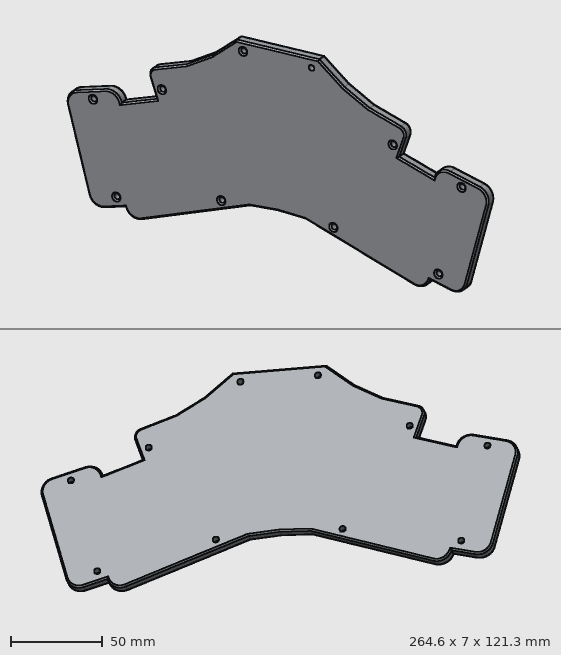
import cadquery as cq
import math

thickness = 7.0
edge_chamfer = 1.0
plate_height = 121.27
top_z = plate_height / 2

shoulder_points = [
    (25.9, top_z),
    (41.5, 47.8),
    (57.3, 38.8),
]
shoulder_corner = (81.8, 30.8)
step_corner = (76.0, 13.85)
buried_step_end = (115.0, 0.9)
lower_corner = (92.9, -62.85)
arch_end = (17.4, -36.5)
arch_middle = (0.0, -35.5)
shoulder_radius = 5.0
lower_corner_radius = 8.0
match_tolerance = 0.01

wing_tilt = 15.0
wing_width = 35.0
wing_length = 68.3
wing_radius = 8.0
wing_center = (108.37, -23.0)

hole_diameter = 3.4
hole_chamfer = 1.0
hole_points = [
    (21.5, 54.9),
    (72.5, 20.5),
    (115.7, 4.9),
    (101.1, -50.1),
    (35.2, -37.25),
]
plain_hole = hole_points[0]


def mirrored(point):
    return (-point[0], point[1])


def front_plane(origin=(0, 0, 0)):
    """Sketch plane with X right and Z up, extruding toward -Y."""
    return cq.Workplane("XZ", origin=origin)


def corner_posts(solid, points):
    """Edges along Y that pass through the given (X, Z) points."""
    def is_on_a_point(edge):
        center = edge.Center()
        return any(math.dist((center.x, center.z), point) < match_tolerance for point in points)

    return solid.edges("|Y").filter(is_on_a_point)


def make_body():
    lower_points = [shoulder_corner, step_corner, buried_step_end, lower_corner, arch_end]
    half = shoulder_points + lower_points
    outline = half + [arch_middle] + [mirrored(point) for point in reversed(half)]
    body = front_plane().polyline(outline).close().extrude(thickness / 2, both=True)
    rounded_corners = [(shoulder_corner, shoulder_radius), (lower_corner, lower_corner_radius)]
    for corner, radius in rounded_corners:
        body = corner_posts(body, [corner, mirrored(corner)]).fillet(radius)
    return body


def make_wing(side):
    wing = (
        front_plane()
        .rect(wing_width, wing_length)
        .extrude(thickness / 2, both=True)
        .edges("|Y")
        .fillet(wing_radius)
    )
    tilted = wing.rotate((0, 0, 0), (0, 1, 0), side * wing_tilt)
    return tilted.translate((side * wing_center[0], 0, wing_center[1]))


def make_hole(point, chamfered):
    radius = hole_diameter / 2
    origin = (point[0], -thickness / 2, point[1])
    hole = front_plane(origin).circle(radius).extrude(-thickness)
    if chamfered:
        mouth = cq.Solid.makeCone(
            radius + hole_chamfer,
            radius,
            hole_chamfer,
            pnt=cq.Vector(*origin),
            dir=cq.Vector(0, 1, 0),
        )
        hole = hole.union(cq.Workplane(obj=mouth))
    return hole


plate = make_body()
for wing_side in (-1, 1):
    plate = plate.union(make_wing(wing_side))
plate = plate.faces("<Y or >Y").chamfer(edge_chamfer)

for hole_point in hole_points:
    plate = plate.cut(make_hole(mirrored(hole_point), True))
    plate = plate.cut(make_hole(hole_point, hole_point != plain_hole))

result = plate